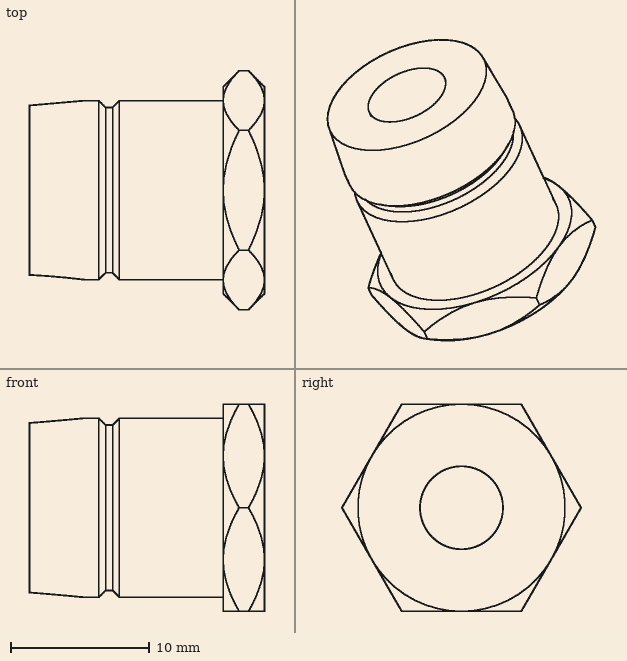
import cadquery as cq
import math

corner_diameter = 17.32
total_length = 17.0
head_length = 3.0
body_radius = 6.5
bore_diameter = 6.0

nose_length = 4.0
nose_taper_angle = 5.0
groove_start = 5.0
groove_depth = 0.5
groove_floor_width = 0.5

nose_x = -total_length / 2
head_x = total_length / 2 - head_length
corner_radius = corner_diameter / 2
flat_radius = corner_radius * math.cos(math.radians(30))


def make_body():
    """Revolve the stepped shank: tapered nose, 45 degree groove and plain barrel."""
    nose_radius = body_radius - nose_length * math.tan(math.radians(nose_taper_angle))
    floor_radius = body_radius - groove_depth
    groove_x = nose_x + groove_start
    floor_start_x = groove_x + groove_depth
    floor_end_x = floor_start_x + groove_floor_width
    profile = [
        (nose_x, 0),
        (nose_x, nose_radius),
        (nose_x + nose_length, body_radius),
        (groove_x, body_radius),
        (floor_start_x, floor_radius),
        (floor_end_x, floor_radius),
        (floor_end_x + groove_depth, body_radius),
        (head_x, body_radius),
        (head_x, 0),
    ]
    return cq.Workplane("XY").polyline(profile).close().revolve(360, (0, 0, 0), (1, 0, 0))


def make_head():
    """Hexagon with corners on Y, both ends chamfered at 45 degrees down to the flats."""
    end_x = head_x + head_length
    chamfer = corner_radius - flat_radius
    hexagon = cq.Workplane("YZ", origin=(head_x, 0, 0)).polygon(6, corner_diameter).extrude(head_length)
    envelope_profile = [
        (head_x, 0),
        (head_x, flat_radius),
        (head_x + chamfer, corner_radius),
        (end_x - chamfer, corner_radius),
        (end_x, flat_radius),
        (end_x, 0),
    ]
    envelope = cq.Workplane("XY").polyline(envelope_profile).close().revolve(360, (0, 0, 0), (1, 0, 0))
    return hexagon.intersect(envelope)


bore = cq.Workplane("YZ", origin=(nose_x, 0, 0)).circle(bore_diameter / 2).extrude(total_length)

result = make_body().union(make_head()).cut(bore)